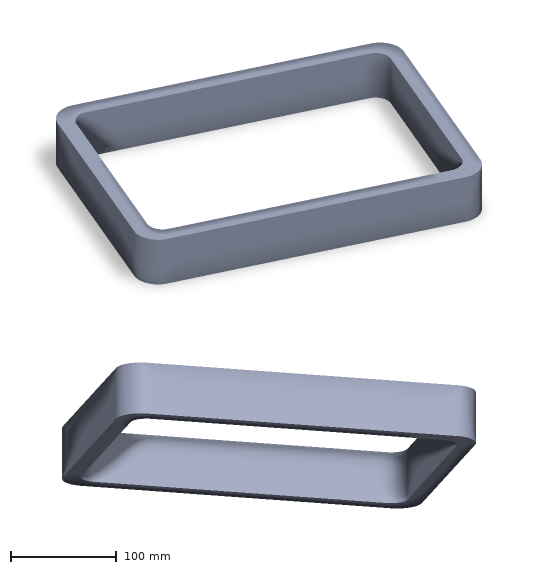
import cadquery as cq

width = 250.0
length = 350.0
height = 50.0

wall = 16.0
outer_radius = 24.0
inner_radius = 15.8


def rounded_block(size_x, size_y, corner_radius):
    """Full-height block, centred in X and Y, with rounded vertical corners."""
    block = cq.Workplane("XY").box(size_x, size_y, height, centered=(True, True, False))
    return block.edges("|Z").fillet(corner_radius)


outer = rounded_block(width, length, outer_radius)
opening = rounded_block(width - 2 * wall, length - 2 * wall, inner_radius)

result = outer.cut(opening)